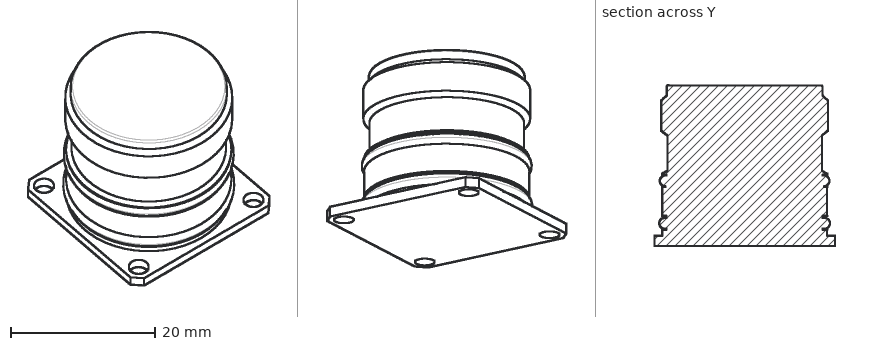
import cadquery as cq

flange_side = 25
flange_thickness = 1.45
flange_corner_chamfer = 1.35
hole_diameter = 2.75
hole_offset = 10.3

body_radius = 11.45
neck_radius = 10.72
collar_radius = 11.58
cap_radius = 10.82
groove_floor_radius = 10.85

lower_groove_bottom = 2.28
lower_groove_top = 4.2
upper_groove_bottom = 8.2
upper_groove_top = 9.85
land_top = 10.02
neck_bottom = 10.45
neck_top = 15.3
collar_bottom = 15.95
collar_top = 20.15
cap_bottom = 20.85
total_height = 22.3
cap_edge_radius = 0.28

ring_section_radius = 0.78
lower_ring_outer_radius = 11.85
lower_ring_height = 3.15
upper_ring_outer_radius = 11.78
upper_ring_height = (upper_groove_bottom + upper_groove_top) / 2


def make_flange():
    """Square plate with chamfered corners and a through hole near each corner."""
    plate = cq.Workplane("XY").rect(flange_side, flange_side).extrude(flange_thickness)
    plate = plate.edges("|Z").chamfer(flange_corner_chamfer)
    holes = (
        cq.Workplane("XY")
        .rect(2 * hole_offset, 2 * hole_offset, forConstruction=True)
        .vertices()
        .circle(hole_diameter / 2)
        .extrude(flange_thickness)
    )
    return plate.cut(holes)


def make_body():
    """Solid turned body with two ring grooves, a neck, a collar and a cap."""
    profile = [
        (0, 0),
        (body_radius, 0),
        (body_radius, lower_groove_bottom),
        (groove_floor_radius, lower_groove_bottom),
        (groove_floor_radius, lower_groove_top),
        (body_radius, lower_groove_top),
        (body_radius, upper_groove_bottom),
        (groove_floor_radius, upper_groove_bottom),
        (groove_floor_radius, upper_groove_top),
        (body_radius, upper_groove_top),
        (body_radius, land_top),
        (neck_radius, neck_bottom),
        (neck_radius, neck_top),
        (collar_radius, collar_bottom),
        (collar_radius, collar_top),
        (cap_radius, cap_bottom),
        (cap_radius, total_height),
        (0, total_height),
    ]
    body = cq.Workplane("XZ").polyline(profile).close().revolve(360, (0, 0, 0), (0, 1, 0))
    return body.faces(">Z").edges().fillet(cap_edge_radius)


def make_ring(center_height, outer_radius):
    """Round-section ring lying around the body at the given height."""
    center_radius = outer_radius - ring_section_radius
    section = cq.Workplane("XZ").center(center_radius, center_height).circle(ring_section_radius)
    return section.revolve(360, (-center_radius, 0, 0), (-center_radius, 1, 0))


lower_ring = make_ring(lower_ring_height, lower_ring_outer_radius)
upper_ring = make_ring(upper_ring_height, upper_ring_outer_radius)
result = make_flange().union(make_body()).union(lower_ring).union(upper_ring)